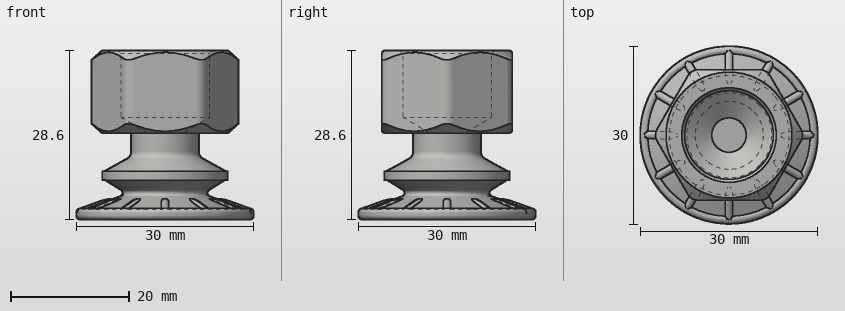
import cadquery as cq
import math

cup_radius = 15.0
rim_round = 0.8
rim_land = 0.35
skirt_slope = 19.9
skirt_edge_radius = 13.7
waist_radius = 6.46
waist_fillet = 0.55
collar_radius = 10.615
collar_bottom = 6.68
collar_top = 8.2
shoulder_lip = 0.35
underside_lip = 0.5
shoulder_fillet = 1.25
neck_radius = 5.75
shoulder_slope = 29.0
neck_fillet = 1.15

bead_center_radius = cup_radius - rim_round
bead_center_z = rim_round + rim_land
skirt_edge_z = bead_center_z + math.sqrt(rim_round**2 - (bead_center_radius - skirt_edge_radius) ** 2)

rib_count = 12
rib_radius = 0.75
rib_rise = 0.37
rib_bend_radius = 6.0
rib_bend_start = 10.62
rib_outer_end = 14.2

nut_bottom = 14.58
nut_height = 14.0
across_flats = 22.0
corner_round = 2.0
nut_face_radius = 21.23 / 2
nut_chamfer_angle = 42.5
bore_radius = 14.95 / 2
bore_chamfer = 0.5
funnel_mouth_radius = 5.8 / 2
funnel_slope = 31.0


def tan_degrees(angle):
    return math.tan(math.radians(angle))


def ring_edge(radius, z):
    """Selector for the whole circle of this radius at this height."""
    tolerance = 0.05
    reach = radius + tolerance
    return cq.selectors.BoxSelector(
        (-reach, -reach, z - tolerance),
        (reach, reach, z + tolerance),
        boundingbox=True,
    )


def make_cup_body():
    waist_z = skirt_edge_z + (skirt_edge_radius - waist_radius) * tan_degrees(skirt_slope)
    shoulder_radius = collar_radius - shoulder_lip
    underside_radius = collar_radius - underside_lip
    shoulder_z = collar_top + (shoulder_radius - neck_radius) * tan_degrees(shoulder_slope)
    diagonal = rim_round * math.sqrt(0.5)

    profile = (
        cq.Workplane("XZ")
        .lineTo(bead_center_radius, 0)
        .threePointArc((bead_center_radius + diagonal, rim_round - diagonal), (cup_radius, rim_round))
        .lineTo(cup_radius, bead_center_z)
        .threePointArc(
            (bead_center_radius + diagonal, bead_center_z + diagonal),
            (skirt_edge_radius, skirt_edge_z),
        )
        .lineTo(waist_radius, waist_z)
        .lineTo(underside_radius, collar_bottom)
        .lineTo(collar_radius, collar_bottom)
        .lineTo(collar_radius, collar_top)
        .lineTo(shoulder_radius, collar_top)
        .lineTo(neck_radius, shoulder_z)
        .lineTo(neck_radius, nut_bottom)
        .lineTo(0, nut_bottom)
        .close()
    )
    body = profile.revolve(360, (0, 0, 0), (0, 1, 0))

    body = body.edges(ring_edge(waist_radius, waist_z)).fillet(waist_fillet)
    body = body.edges(ring_edge(neck_radius, shoulder_z)).fillet(neck_fillet)
    body = body.edges(ring_edge(shoulder_radius, collar_top)).fillet(shoulder_fillet)
    return body


def make_rib():
    """Round bar along +X: straight down the skirt, bent level at its inner end."""
    slope = math.radians(skirt_slope)
    axis_depth = rib_radius - rib_rise

    def axis_z(radius):
        skirt_z = skirt_edge_z + (skirt_edge_radius - radius) * math.tan(slope)
        return skirt_z - axis_depth / math.cos(slope)

    def bend_point(angle):
        run = rib_bend_radius * (math.sin(slope) - math.sin(angle))
        rise = rib_bend_radius * (math.cos(angle) - math.cos(slope))
        return (rib_bend_start - run, axis_z(rib_bend_start) + rise)

    path = (
        cq.Workplane("XZ")
        .moveTo(rib_outer_end, axis_z(rib_outer_end))
        .lineTo(rib_bend_start, axis_z(rib_bend_start))
        .threePointArc(bend_point(slope / 2), bend_point(0))
    )
    start = cq.Plane(
        origin=(rib_outer_end, 0, axis_z(rib_outer_end)),
        xDir=(0, 1, 0),
        normal=(-math.cos(slope), 0, math.sin(slope)),
    )
    return cq.Workplane(start).circle(rib_radius).sweep(path)


def make_suction_cup():
    cup = make_cup_body()
    rib = make_rib()
    for i in range(rib_count):
        cup = cup.union(rib.rotate((0, 0, 0), (0, 0, 1), i * 360 / rib_count))
    return cup


def make_nut():
    nut_top = nut_bottom + nut_height
    corner_radius = across_flats / math.sqrt(3)
    hexagon = (
        cq.Workplane("XY", origin=(0, 0, nut_bottom))
        .polygon(6, 2 * corner_radius)
        .extrude(nut_height)
        .edges("|Z")
        .fillet(corner_round)
    )
    drop = (corner_radius - nut_face_radius) * tan_degrees(nut_chamfer_angle)
    chamfer_envelope = (
        cq.Workplane("XZ")
        .moveTo(0, nut_bottom)
        .lineTo(nut_face_radius, nut_bottom)
        .lineTo(corner_radius, nut_bottom + drop)
        .lineTo(corner_radius, nut_top - drop)
        .lineTo(nut_face_radius, nut_top)
        .lineTo(0, nut_top)
        .close()
        .revolve(360, (0, 0, 0), (0, 1, 0))
    )
    funnel_top = nut_bottom + (bore_radius - funnel_mouth_radius) * tan_degrees(funnel_slope)
    bore = (
        cq.Workplane("XZ")
        .moveTo(0, nut_top)
        .lineTo(bore_radius + bore_chamfer, nut_top)
        .lineTo(bore_radius, nut_top - bore_chamfer)
        .lineTo(bore_radius, funnel_top)
        .lineTo(funnel_mouth_radius, nut_bottom)
        .lineTo(0, nut_bottom)
        .close()
        .revolve(360, (0, 0, 0), (0, 1, 0))
    )
    return hexagon.intersect(chamfer_envelope).cut(bore)


suction_cup = make_suction_cup()
nut = make_nut()

result = cq.Compound.makeCompound([suction_cup.val(), nut.val()])